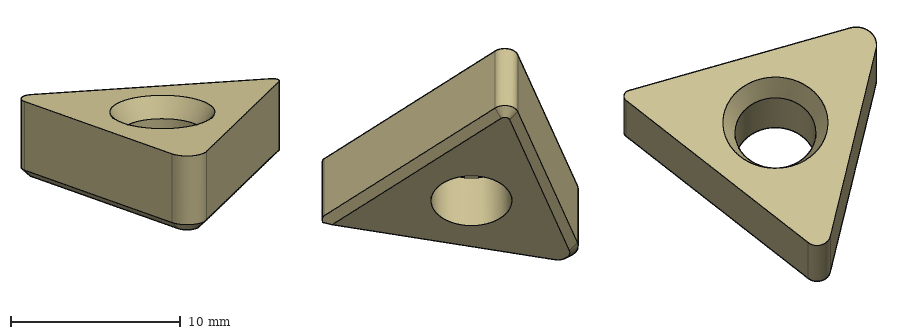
import cadquery as cq
import math

thickness = 4.76
overall_width = 15.03
left_radius = 0.8
right_radius = 1.2
top_radius = 0.4
bevel = 0.5
hole_diameter = 4.76
countersink_diameter = 6.19
countersink_depth = 1.22

base_side = overall_width + (math.sqrt(3) - 1) * (left_radius + right_radius)
half_side = base_side / 2
inscribed_radius = half_side / math.sqrt(3)
corner_distance = 2 * inscribed_radius


def triangular_prism():
    """Equilateral prism with sharp corners, one corner pointing along +Y."""
    return (
        cq.Workplane("XY")
        .moveTo(-half_side, -inscribed_radius)
        .lineTo(half_side, -inscribed_radius)
        .lineTo(0, corner_distance)
        .close()
        .extrude(thickness)
    )


def beveled_body():
    """Rounded prism with the bottom bevel; the small top corner cuts straight through the bevel."""
    body = triangular_prism()
    body = body.edges("|Z and <X").fillet(left_radius)
    body = body.edges("|Z and >X").fillet(right_radius)
    body = body.faces("<Z").chamfer(bevel)
    top_rounding = triangular_prism().edges("|Z and >Y").fillet(top_radius)
    return body.intersect(top_rounding)


def countersunk_hole():
    """Straight through hole joined to a conical countersink at the top face."""
    hole_radius = hole_diameter / 2
    return (
        cq.Workplane("XZ")
        .lineTo(hole_radius, 0)
        .lineTo(hole_radius, thickness - countersink_depth)
        .lineTo(countersink_diameter / 2, thickness)
        .lineTo(0, thickness)
        .close()
        .revolve(360, (0, 0), (0, 1))
    )


result = beveled_body().cut(countersunk_hole())